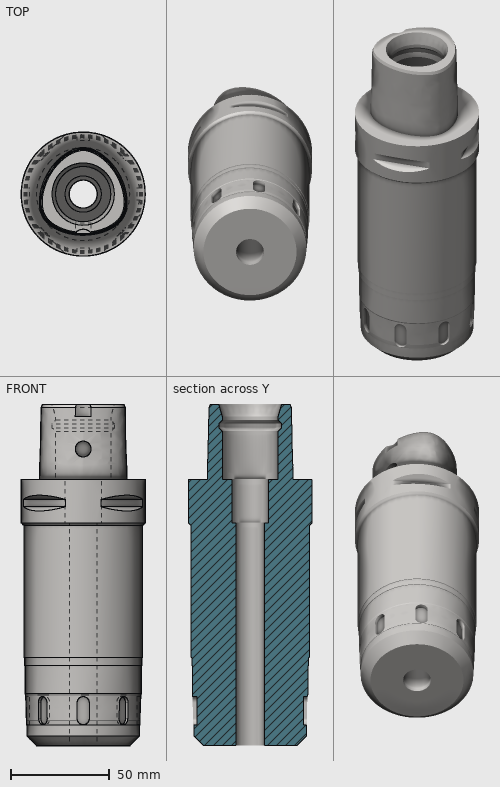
import math

import cadquery as cq

OVERCUT = 1.0

SHANK_LENGTH = 38.0
SHANK_BASE_RADIUS = 22.25
SHANK_TAPER = 1 / 40
LOBE_HEIGHT = 1.35
SHANK_CHAMFER_HEIGHT = 1.5
SHANK_CHAMFER_WIDTH = 0.6
CURVE_POINTS = 72

FLANGE_RADIUS = 31.5
FLANGE_HEIGHT = 22.0
GRIP_COUNT = 4
GRIP_Z = -12.0
GRIP_FLAT_DISTANCE = 27.75
GRIP_FLAT_HEIGHT = 3.7
GRIP_SIDE_ANGLE = 30.0

TOTAL_LENGTH = 173.0
NOSE_Z = SHANK_LENGTH - TOTAL_LENGTH
BODY_RADIUS = 30.1
FLANGE_CHAMFER = FLANGE_RADIUS - BODY_RADIUS
RING_TOP_Z = -90.3
RING_RADIUS = 29.8
SLEEVE_TOP_Z = -94.4
SLEEVE_RADIUS = 29.5
NUT_TOP_Z = -109.2
SLEEVE_BEVEL_HEIGHT = 0.6
NUT_TOP_RADIUS = 29.3
NUT_BEVEL_TOP_Z = -122.1
NUT_BEVEL_TOP_RADIUS = 29.0
NUT_BEVEL_BOTTOM_Z = -124.4
NUT_BEVEL_BOTTOM_RADIUS = 28.8
NOSE_RADIUS = 28.6
NOSE_CHAMFER = 5.0

SLOT_COUNT = 8
SLOT_WIDTH = 6.2
SLOT_TOP_Z = -110.1
SLOT_BOTTOM_Z = -124.3
SLOT_FLOOR_DISTANCE = 27.2

ENTRY_RADIUS = 15.8
ENTRY_DEPTH = 6.2
BORE_RADIUS = 14.0
LIP_HEIGHT = 1.8
GROOVE_RADIUS = 15.8
GROOVE_BOTTOM_Z = 24.3
BORE_FLOOR_Z = 0.0
STEP_FLOOR_Z = -FLANGE_HEIGHT
STEP_RADIUS = 9.2
THROUGH_RADIUS = 7.05

NOTCH_RADIUS = 5.0
NOTCH_DEPTH = 6.0
NOTCH_FLOOR_DISTANCE = 17.8
DIMPLE_RADIUS = 4.0
DIMPLE_Z = 15.4
DIMPLE_FLOOR_DISTANCE = 14.6


def polygon_wire(mean_radius, z):
    """Closed three-lobed curve of constant width, one lobe pointing to +Y."""

    def point(t):
        turn = 2 * math.pi * t - math.pi / 2
        radial = mean_radius - LOBE_HEIGHT * math.sin(3 * turn)
        tangential = -3 * LOBE_HEIGHT * math.cos(3 * turn)
        return (
            radial * math.cos(turn) - tangential * math.sin(turn),
            radial * math.sin(turn) + tangential * math.cos(turn),
            z,
        )

    points = [cq.Vector(*point(i / CURVE_POINTS)) for i in range(CURVE_POINTS)]
    return cq.Wire.assembleEdges([cq.Edge.makeSpline(points, periodic=True)])


def make_shank():
    chamfer_z = SHANK_LENGTH - SHANK_CHAMFER_HEIGHT
    chamfer_radius = SHANK_BASE_RADIUS - SHANK_TAPER * chamfer_z
    base = polygon_wire(SHANK_BASE_RADIUS, 0)
    shoulder = polygon_wire(chamfer_radius, chamfer_z)
    tip = polygon_wire(chamfer_radius - SHANK_CHAMFER_WIDTH, SHANK_LENGTH)
    taper = cq.Solid.makeLoft([base, shoulder], True)
    chamfer = cq.Solid.makeLoft([shoulder, tip], True)
    return cq.Workplane(taper).union(cq.Workplane(chamfer))


def revolve_profile(points):
    """Turn (radius, z) points around the Z axis."""
    return cq.Workplane("XZ").polyline(points).close().revolve(360, (0, 0, 0), (0, 1, 0))


def make_body():
    return revolve_profile([
        (0, 0),
        (FLANGE_RADIUS, 0),
        (FLANGE_RADIUS, -FLANGE_HEIGHT),
        (BODY_RADIUS, -FLANGE_HEIGHT - FLANGE_CHAMFER),
        (BODY_RADIUS, RING_TOP_Z),
        (RING_RADIUS, RING_TOP_Z),
        (RING_RADIUS, SLEEVE_TOP_Z),
        (SLEEVE_RADIUS, SLEEVE_TOP_Z),
        (SLEEVE_RADIUS, NUT_TOP_Z + SLEEVE_BEVEL_HEIGHT),
        (NUT_TOP_RADIUS, NUT_TOP_Z),
        (NUT_BEVEL_TOP_RADIUS, NUT_BEVEL_TOP_Z),
        (NUT_BEVEL_BOTTOM_RADIUS, NUT_BEVEL_BOTTOM_Z),
        (NOSE_RADIUS, NUT_BEVEL_BOTTOM_Z),
        (NOSE_RADIUS, NOSE_Z + NOSE_CHAMFER),
        (NOSE_RADIUS - NOSE_CHAMFER, NOSE_Z),
        (0, NOSE_Z),
    ])


def make_bore():
    lip_top = SHANK_LENGTH - ENTRY_DEPTH
    lip_bottom = lip_top - LIP_HEIGHT
    groove_depth = GROOVE_RADIUS - BORE_RADIUS
    return revolve_profile([
        (0, SHANK_LENGTH),
        (ENTRY_RADIUS, SHANK_LENGTH),
        (BORE_RADIUS, lip_top),
        (BORE_RADIUS, lip_bottom),
        (GROOVE_RADIUS, lip_bottom - groove_depth),
        (GROOVE_RADIUS, GROOVE_BOTTOM_Z + groove_depth),
        (BORE_RADIUS, GROOVE_BOTTOM_Z),
        (BORE_RADIUS, BORE_FLOOR_Z),
        (STEP_RADIUS, BORE_FLOOR_Z),
        (STEP_RADIUS, STEP_FLOOR_Z),
        (THROUGH_RADIUS, STEP_FLOOR_Z),
        (THROUGH_RADIUS, NOSE_Z - OVERCUT),
        (0, NOSE_Z - OVERCUT),
    ])


def around_axis(cutter, count, first_angle):
    """Copies of a cutter spaced evenly around the Z axis."""
    copies = cq.Workplane()
    for i in range(count):
        copies = copies.add(cutter.rotate((0, 0, 0), (0, 0, 1), first_angle + i * 360 / count))
    return copies.combine()


def make_grips():
    outer = FLANGE_RADIUS + OVERCUT
    half_floor = GRIP_FLAT_HEIGHT / 2
    half_mouth = half_floor + (outer - GRIP_FLAT_DISTANCE) * math.tan(math.radians(GRIP_SIDE_ANGLE))
    section = [
        (GRIP_FLAT_DISTANCE, GRIP_Z - half_floor),
        (outer, GRIP_Z - half_mouth),
        (outer, GRIP_Z + half_mouth),
        (GRIP_FLAT_DISTANCE, GRIP_Z + half_floor),
    ]
    cutter = cq.Workplane("XZ").polyline(section).close().extrude(FLANGE_RADIUS, both=True)
    return around_axis(cutter, GRIP_COUNT, 180 / GRIP_COUNT)


def make_slots():
    cutter = (
        cq.Workplane("YZ", origin=(SLOT_FLOOR_DISTANCE, 0, (SLOT_TOP_Z + SLOT_BOTTOM_Z) / 2))
        .slot2D(SLOT_TOP_Z - SLOT_BOTTOM_Z, SLOT_WIDTH, 90)
        .extrude(BODY_RADIUS - SLOT_FLOOR_DISTANCE)
    )
    return around_axis(cutter, SLOT_COUNT, 0)


def make_notch():
    return (
        cq.Workplane("XY", origin=(0, -NOTCH_FLOOR_DISTANCE - NOTCH_RADIUS, SHANK_LENGTH - NOTCH_DEPTH))
        .circle(NOTCH_RADIUS)
        .extrude(NOTCH_DEPTH + OVERCUT)
    )


def make_dimple():
    return (
        cq.Workplane("XZ", origin=(0, -DIMPLE_FLOOR_DISTANCE, DIMPLE_Z))
        .circle(DIMPLE_RADIUS)
        .extrude(SHANK_BASE_RADIUS - DIMPLE_FLOOR_DISTANCE)
    )


result = make_body().union(make_shank())
for cutter in (make_bore(), make_grips(), make_slots(), make_notch(), make_dimple()):
    result = result.cut(cutter)